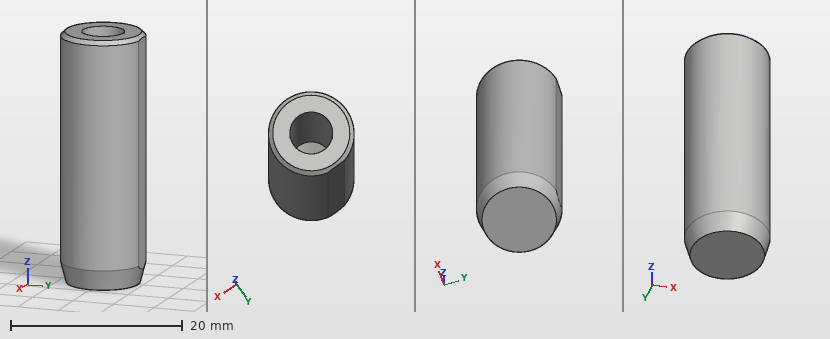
import cadquery as cq

length = 30.0
diameter = 10.0
radius = diameter / 2

lead_height = 2.5
lead_inset = 0.65
top_chamfer = 0.5

hole_radius = 2.5
hole_depth = 18.0
drill_point_height = 1.45

depth_across_flat = 9.85
flat_y = depth_across_flat - radius


def pin_body():
    profile = [
        (0, 0),
        (radius - lead_inset, 0),
        (radius, lead_height),
        (radius, length - top_chamfer),
        (radius - top_chamfer, length),
        (0, length),
    ]
    return cq.Workplane("XZ").polyline(profile).close().revolve(360, (0, 0), (0, 1))


def blind_hole():
    hole_floor = length - hole_depth
    profile = [
        (0, hole_floor - drill_point_height),
        (hole_radius, hole_floor),
        (hole_radius, length),
        (0, length),
    ]
    return cq.Workplane("XZ").polyline(profile).close().revolve(360, (0, 0), (0, 1))


def flat_cutter():
    return (
        cq.Workplane("XY")
        .box(diameter, radius, length, centered=(True, False, False))
        .translate((0, flat_y, 0))
    )


result = pin_body().cut(blind_hole()).cut(flat_cutter())